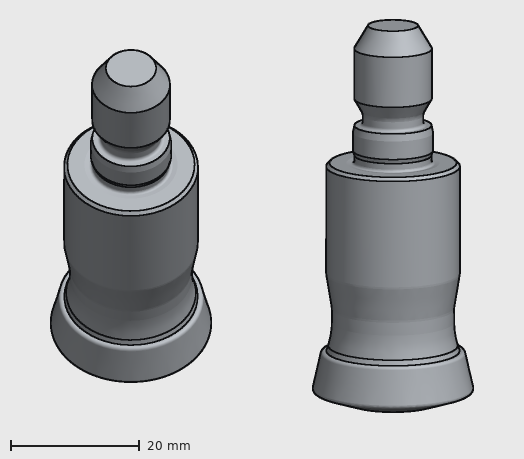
import cadquery as cq
import math

total_height = 60.0
nose_base_z = 56.35
head_base_z = 48.35
neck_top_z = 46.0
collar_top_z = 44.1
collar_chamfer_z = 42.95
collar_base_z = 40.1
relief_top_z = 39.35
shoulder_z = 38.1
taper_top_z = 20.5
taper_base_z = 15.0
flare_top_z = 12.8
split_z = 9.0
foot_top_z = 8.15

nose_radius = 3.9
head_radius = 12.1 / 2
neck_radius = 9.4 / 2
collar_radius = 12.5 / 2
collar_top_radius = 6.0
relief_radius = 12.0 / 2
undercut_radius = 14.45 / 2
body_radius = 20.8 / 2
waist_radius = 19.0 / 2
body_chamfer = 0.55

neck_top_fillet = 1.3
neck_base_fillet = 0.55
undercut_fillet = 0.4
taper_fillet = 2.15
undercut_angle = math.radians(8)
undercut_depth = (undercut_radius - relief_radius) * math.tan(undercut_angle)

flare_radius = 13.0

rim_radius = 25.15 / 2
rim_z = 1.85
lip_radius = 11.15
base_radius = 7.1
lip_fillet = 0.6
rim_fillet = 0.55


def flare_at(z):
    """Point (radius, z) on the concave flare."""
    drop = flare_top_z - z
    radius = waist_radius + flare_radius - math.sqrt(flare_radius**2 - drop**2)
    return (radius, z)


def ring_edge(solid, radius, z):
    """Circular edge of a turned solid nearest to the given radius and height."""
    def distance(edge):
        return math.hypot(edge.radius() - radius, edge.Center().z - z)

    return min(solid.edges("%CIRCLE").vals(), key=distance)


def round_ring(solid, radius, z, fillet_radius):
    """Round one circular edge of a turned solid."""
    edge = ring_edge(solid, radius, z)
    return solid.newObject([solid.val().fillet(fillet_radius, [edge])])


def make_stem():
    """Turned stem: nose, head, neck, collar, undercut shoulder, body and waist."""
    undercut_floor_z = shoulder_z - undercut_depth
    flare_middle = flare_at((flare_top_z + split_z) / 2)
    stem = (
        cq.Workplane("XZ")
        .moveTo(0, split_z)
        .lineTo(*flare_at(split_z))
        .threePointArc(flare_middle, (waist_radius, flare_top_z))
        .lineTo(waist_radius, taper_base_z)
        .lineTo(body_radius, taper_top_z)
        .lineTo(body_radius, shoulder_z - body_chamfer)
        .lineTo(body_radius - body_chamfer, shoulder_z)
        .lineTo(undercut_radius, shoulder_z)
        .lineTo(relief_radius, undercut_floor_z)
        .lineTo(relief_radius, relief_top_z)
        .lineTo(collar_radius, collar_base_z)
        .lineTo(collar_radius, collar_chamfer_z)
        .lineTo(collar_top_radius, collar_top_z)
        .lineTo(neck_radius, collar_top_z)
        .lineTo(neck_radius, neck_top_z)
        .lineTo(head_radius, head_base_z)
        .lineTo(head_radius, nose_base_z)
        .lineTo(nose_radius, total_height)
        .lineTo(0, total_height)
        .close()
        .revolve(360, (0, 0), (0, 1))
    )
    stem = round_ring(stem, neck_radius, neck_top_z, neck_top_fillet)
    stem = round_ring(stem, neck_radius, collar_top_z, neck_base_fillet)
    stem = round_ring(stem, relief_radius, undercut_floor_z, undercut_fillet)
    stem = round_ring(stem, body_radius, taper_top_z, taper_fillet)
    return round_ring(stem, waist_radius, taper_base_z, taper_fillet)


def make_foot():
    """Flared foot with a rounded lip, a rounded rim and a coned underside."""
    flare_middle = flare_at((split_z + foot_top_z) / 2)
    foot = (
        cq.Workplane("XZ")
        .moveTo(0, 0)
        .lineTo(base_radius, 0)
        .lineTo(rim_radius, rim_z)
        .lineTo(lip_radius, foot_top_z)
        .lineTo(*flare_at(foot_top_z))
        .threePointArc(flare_middle, flare_at(split_z))
        .lineTo(0, split_z)
        .close()
        .revolve(360, (0, 0), (0, 1))
    )
    foot = round_ring(foot, lip_radius, foot_top_z, lip_fillet)
    return round_ring(foot, rim_radius, rim_z, rim_fillet)


stem = make_stem()
foot = make_foot()
result = cq.Compound.makeCompound([stem.val(), foot.val()])